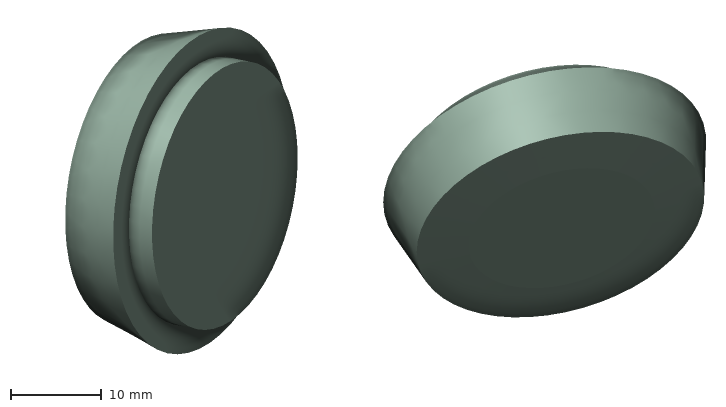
import cadquery as cq

rim_x = 0.5
shoulder_x = 8.0
total_length = 11.0

flat_diameter = 21.0
rim_diameter = 32.5
shoulder_diameter = 36.5
spigot_diameter = 30.0


def half_profile():
    """Half section in the XY plane: X is the axis, Y is the radius."""
    return (
        cq.Workplane("XY")
        .moveTo(0, 0)
        .lineTo(0, flat_diameter / 2)
        .lineTo(rim_x, rim_diameter / 2)
        .lineTo(shoulder_x, shoulder_diameter / 2)
        .lineTo(shoulder_x, spigot_diameter / 2)
        .lineTo(total_length, spigot_diameter / 2)
        .lineTo(total_length, 0)
        .close()
    )


result = half_profile().revolve(360, (0, 0, 0), (1, 0, 0))